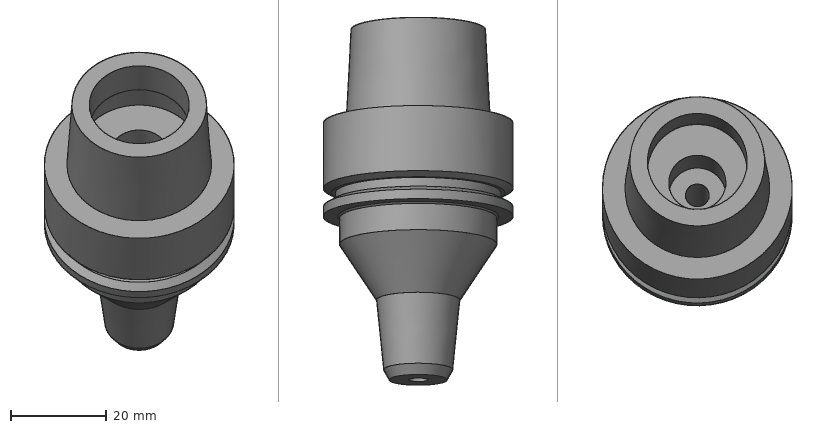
import cadquery as cq

TOTAL_HEIGHT = 75.0
BODY_DIAMETER = 40.0

TIP_END_RADIUS = 6.1
TIP_RADIUS = 7.3
TIP_BEVEL_HEIGHT = 2.2
NECK_TOP_RADIUS = 8.8
NECK_TOP_Z = 17.1
HUB_RADIUS = 16.6
HUB_BOTTOM_Z = 29.0
HUB_FLARE = 0.4

FLANGE_BOTTOM_Z = 35.0
FLANGE_RIM_HEIGHT = 2.0
GROOVE_RADIUS = 17.5
GROOVE_WIDTH = 2.0
BEVEL_DEPTH = 1.7
BEVEL_HEIGHT = 1.0
COLLAR_TOP_Z = 55.0

SHANK_BASE_RADIUS = 15.2
SHANK_TOP_RADIUS = 14.2

MOUTH_RADIUS = 10.5
MOUTH_DEPTH = 8.0
CHAMBER_RADIUS = 12.75
CHAMBER_DEPTH = 16.0
SOCKET_RADIUS = 6.0
SOCKET_DEPTH = 25.5

CLAMP_RADIUS = 2.0
CLAMP_LENGTH = 16.0
RELIEF_RADIUS = 2.25
RELIEF_LENGTH = 10.0
CHANNEL_RADIUS = 2.5

body_radius = BODY_DIAMETER / 2
bevel_inner_radius = body_radius - BEVEL_DEPTH
rim_top_z = FLANGE_BOTTOM_Z + FLANGE_RIM_HEIGHT
groove_bottom_z = rim_top_z + BEVEL_HEIGHT
groove_top_z = groove_bottom_z + GROOVE_WIDTH
collar_bottom_z = groove_top_z + BEVEL_HEIGHT
relief_top_z = CLAMP_LENGTH + RELIEF_LENGTH


def revolved(outline):
    """Full turn of a closed (radius, height) outline about the Z axis."""
    return cq.Workplane("XZ").polyline(outline).close().revolve(360, (0, 0), (0, 1))


def turned_body():
    """Solid of revolution for the whole outside, listed from the tip upwards."""
    outline = [
        (0, 0),
        (TIP_END_RADIUS, 0),
        (TIP_RADIUS, TIP_BEVEL_HEIGHT),
        (NECK_TOP_RADIUS, NECK_TOP_Z),
        (HUB_RADIUS, HUB_BOTTOM_Z),
        (HUB_RADIUS, FLANGE_BOTTOM_Z - HUB_FLARE),
        (HUB_RADIUS + HUB_FLARE, FLANGE_BOTTOM_Z),
        (body_radius, FLANGE_BOTTOM_Z),
        (body_radius, rim_top_z),
        (bevel_inner_radius, groove_bottom_z),
        (GROOVE_RADIUS, groove_bottom_z),
        (GROOVE_RADIUS, groove_top_z),
        (bevel_inner_radius, groove_top_z),
        (body_radius, collar_bottom_z),
        (body_radius, COLLAR_TOP_Z),
        (SHANK_BASE_RADIUS, COLLAR_TOP_Z),
        (SHANK_TOP_RADIUS, TOTAL_HEIGHT),
        (0, TOTAL_HEIGHT),
    ]
    return revolved(outline)


def cavity():
    """Stepped bore with an undercut chamber, a socket and a stepped through hole."""
    mouth_z = TOTAL_HEIGHT - MOUTH_DEPTH
    chamber_z = TOTAL_HEIGHT - CHAMBER_DEPTH
    socket_z = TOTAL_HEIGHT - SOCKET_DEPTH
    outline = [
        (0, 0),
        (CLAMP_RADIUS, 0),
        (CLAMP_RADIUS, CLAMP_LENGTH),
        (RELIEF_RADIUS, CLAMP_LENGTH),
        (RELIEF_RADIUS, relief_top_z),
        (CHANNEL_RADIUS, relief_top_z),
        (CHANNEL_RADIUS, socket_z),
        (SOCKET_RADIUS, socket_z),
        (SOCKET_RADIUS, chamber_z),
        (CHAMBER_RADIUS, chamber_z),
        (CHAMBER_RADIUS, mouth_z),
        (MOUTH_RADIUS, mouth_z),
        (MOUTH_RADIUS, TOTAL_HEIGHT),
        (0, TOTAL_HEIGHT),
    ]
    return revolved(outline)


result = turned_body().cut(cavity())